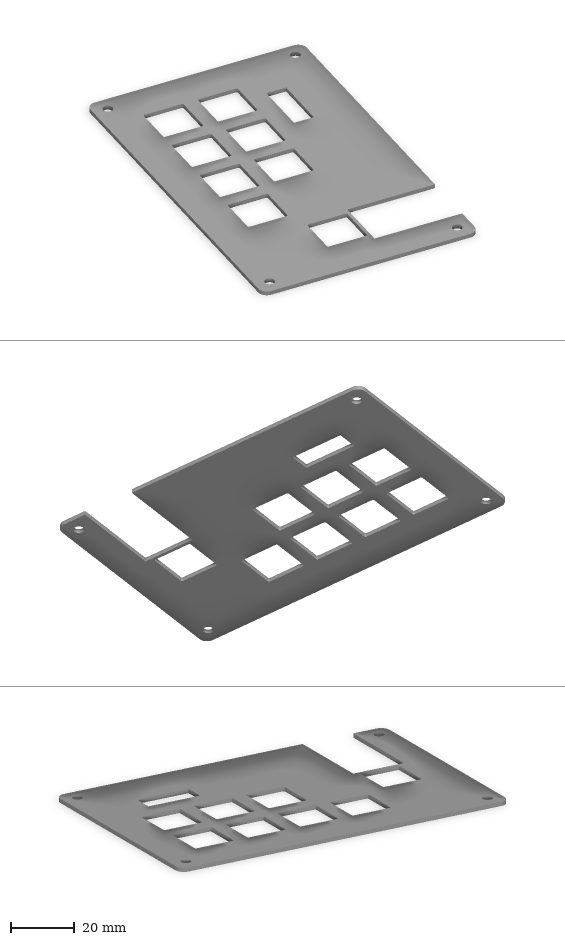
import cadquery as cq

plate_length = 120.0
plate_width = 76.2
plate_thickness = 1.5
plate_corner_radius = 3.0

mount_hole_diameter = 3.4
mount_hole_inset = 5.0

key_size = 14.0
key_corner_radius = 0.5
key_pitch = 19.1
first_key_x = -39.6
lower_row_y = -17.9
upper_row_y = lower_row_y + key_pitch
lower_row_count = 4
upper_row_count = 3

knob_x = 39.0
knob_y = -1.0

window_length = 18.8
window_width = 7.0
window_x = -30.5
window_y = 18.5

notch_width = 18.5
notch_x = 39.4
notch_bottom_y = 7.2


def through_box(length, width, x, y):
    """Box as tall as the plate, centred at (x, y)."""
    return (
        cq.Workplane("XY")
        .center(x, y)
        .rect(length, width)
        .extrude(plate_thickness)
    )


def key_cutout(x, y):
    """Square cutter with rounded corners."""
    return through_box(key_size, key_size, x, y).edges("|Z").fillet(key_corner_radius)


def key_row(count, y):
    """Centres of a row of keys starting at the first column."""
    return [(first_key_x + column * key_pitch, y) for column in range(count)]


plate = through_box(plate_length, plate_width, 0, 0).edges("|Z").fillet(plate_corner_radius)
plate = (
    plate.faces(">Z")
    .workplane(origin=(0, 0, plate_thickness))
    .rect(plate_length - 2 * mount_hole_inset, plate_width - 2 * mount_hole_inset, forConstruction=True)
    .vertices()
    .hole(mount_hole_diameter)
)

square_centres = key_row(lower_row_count, lower_row_y) + key_row(upper_row_count, upper_row_y)
square_centres.append((knob_x, knob_y))
for x, y in square_centres:
    plate = plate.cut(key_cutout(x, y))

plate = plate.cut(through_box(window_length, window_width, window_x, window_y))

notch_depth = plate_width / 2 - notch_bottom_y
notch_y = notch_bottom_y + notch_depth / 2
plate = plate.cut(through_box(notch_width, notch_depth, notch_x, notch_y))

result = plate